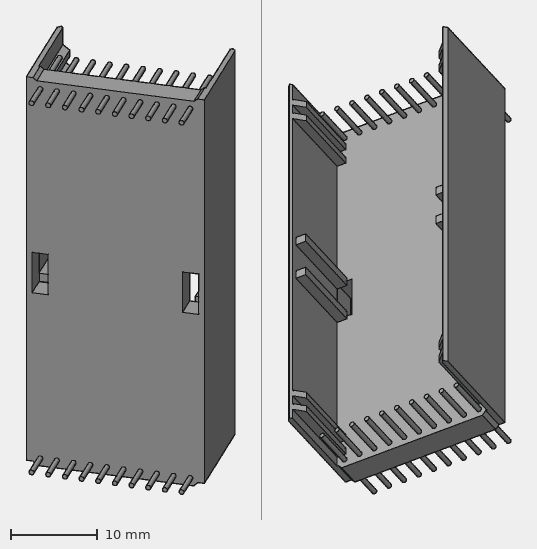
import cadquery as cq

width = 21.4
wall_top = 50.35
wall_bottom = 0.5
wall_depth = 13.4
wall_thickness = 0.65
wall_outer_chamfer = 0.4

plate_thickness = 3.0
plate_top = 50.0
joint_margin = 0.8
joint_taper = 0.45
plate_mid_z = plate_top / 2

pins_per_row = 10
pin_diameter = 0.6
pin_row_length = 18.05
pin_row_spacing = 48.0
pin_front_length = 3.75
pin_rear_length = 5.2

window_width = 1.9
window_height = 5.25
window_margin = 0.7

end_rib_reach = 1.15
end_rib_height = 0.85
end_rib_spacing = 2.0
end_rib_inset = 2.2
stop_rib_reach = 1.3
stop_rib_height = 1.1
stop_rib_setback = 1.0
left_stop_gap = 3.15
right_stop_gap = 3.9

half_width = width / 2
wall_inner_x = -half_width + wall_thickness
wall_crest_x = -half_width + wall_outer_chamfer
rib_root_x = -half_width + wall_thickness / 2
rib_front_y = plate_thickness


def slope_y(x):
    """Y of the 45 degree slope that falls inward from the crest of the left wall."""
    return wall_depth - (x - wall_crest_x)


def vertical_prism(outline, bottom_z, height):
    """Closed XY outline extruded upwards from the given height."""
    base = cq.Workplane("XY").workplane(offset=bottom_z)
    return base.polyline(outline).close().extrude(height)


def side_wall():
    """Left side wall whose rear edge is bevelled on both faces to a crest."""
    outline = [
        (-half_width, 0),
        (wall_inner_x, 0),
        (wall_inner_x, slope_y(wall_inner_x)),
        (wall_crest_x, wall_depth),
        (-half_width, wall_depth - wall_outer_chamfer),
    ]
    return vertical_prism(outline, wall_bottom, wall_top - wall_bottom)


def front_plate():
    """Plate between the walls, outlined in XZ and extruded rearwards."""
    shoulder = half_width - joint_margin
    tip = shoulder - joint_taper
    outline = [
        (-half_width, wall_bottom),
        (-shoulder, wall_bottom),
        (-tip, 0),
        (tip, 0),
        (shoulder, wall_bottom),
        (half_width, wall_bottom),
        (half_width, wall_top),
        (shoulder, wall_top),
        (tip, plate_top),
        (-tip, plate_top),
        (-shoulder, wall_top),
        (-half_width, wall_top),
    ]
    return cq.Workplane("XZ").polyline(outline).close().extrude(-plate_thickness)


def windows():
    """Cutters for the two rectangular openings in the plate."""
    window_x = half_width - window_margin - window_width / 2
    return (
        cq.Workplane("XZ")
        .pushPoints([(-window_x, plate_mid_z), (window_x, plate_mid_z)])
        .rect(window_width, window_height)
        .extrude(-plate_thickness)
    )


def end_rib(bottom_z):
    """Rib on the left wall whose rear end continues the inner slope of the wall edge."""
    tip_x = wall_inner_x + end_rib_reach
    outline = [
        (rib_root_x, rib_front_y),
        (tip_x, rib_front_y),
        (tip_x, slope_y(tip_x)),
        (wall_inner_x, slope_y(wall_inner_x)),
        (rib_root_x, slope_y(wall_inner_x)),
    ]
    return vertical_prism(outline, bottom_z, end_rib_height)


def stop_rib(bottom_z):
    """Rib on the left wall with a square rear end, set back from the crest of the wall."""
    tip_x = wall_inner_x + stop_rib_reach
    rear_y = wall_depth - stop_rib_setback
    outline = [
        (rib_root_x, rib_front_y),
        (tip_x, rib_front_y),
        (tip_x, rear_y),
        (rib_root_x, rear_y),
    ]
    return vertical_prism(outline, bottom_z, stop_rib_height)


def left_side(stop_gap):
    """Left wall with a pair of ribs near each end and a pair around the window."""
    side = side_wall()
    for index in range(2):
        upper_z = wall_top - end_rib_inset - end_rib_height - index * end_rib_spacing
        lower_z = 2 * plate_mid_z - upper_z - end_rib_height
        side = side.union(end_rib(upper_z)).union(end_rib(lower_z))
    side = side.union(stop_rib(plate_mid_z + stop_gap / 2))
    return side.union(stop_rib(plate_mid_z - stop_gap / 2 - stop_rib_height))


def pins():
    """Two rows of round pins passing through the plate."""
    pitch = pin_row_length / (pins_per_row - 1)
    length = pin_front_length + plate_thickness + pin_rear_length
    return (
        cq.Workplane("XZ", origin=(0, -pin_front_length, plate_mid_z))
        .rarray(pitch, pin_row_spacing, pins_per_row, 2)
        .circle(pin_diameter / 2)
        .extrude(-length)
    )


plate = front_plate()
left = left_side(left_stop_gap)
right = left_side(right_stop_gap).mirror("YZ")
openings = windows()
result = plate.cut(openings).union(left).union(right).union(pins())